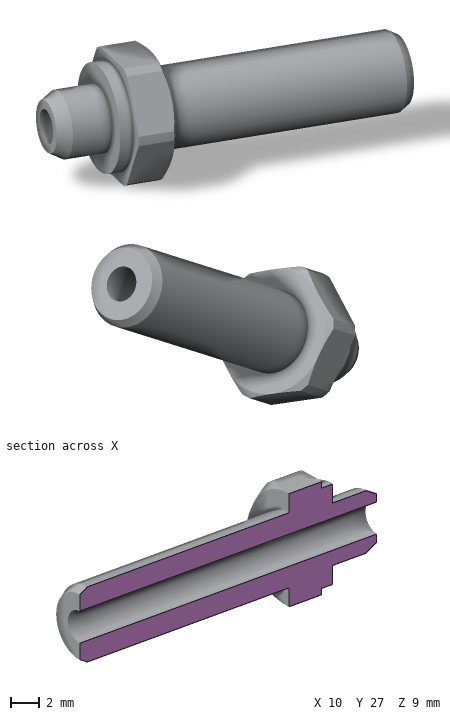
import cadquery as cq
import math

total_length = 27.0
spigot_length = 4.0
collar_length = 1.0
hex_length = 3.0
tip_chamfer_length = 1.0
tail_chamfer_length = 0.7

spigot_diameter = 5.0
collar_diameter = 8.0
across_flats = 9.0
corner_diameter = 10.0
stem_diameter = 6.0
bore_diameter = 2.5

end_cone_angle = math.radians(30)
hex_cone_angle = math.radians(30)

hex_start = spigot_length + collar_length
hex_end = hex_start + hex_length


def revolve_profile(points):
    """Turn a closed (radius, y) outline around the Y axis."""
    return cq.Workplane("XY").polyline(points).close().revolve(360, (0, 0, 0), (0, 1, 0))


def make_turned_body():
    """Spigot, collar and stem, with a cone at each end."""
    spigot_radius = spigot_diameter / 2
    collar_radius = collar_diameter / 2
    stem_radius = stem_diameter / 2
    tip_radius = spigot_radius - tip_chamfer_length * math.tan(end_cone_angle)
    tail_radius = stem_radius - tail_chamfer_length * math.tan(end_cone_angle)
    return revolve_profile([
        (0, 0),
        (tip_radius, 0),
        (spigot_radius, tip_chamfer_length),
        (spigot_radius, spigot_length),
        (collar_radius, spigot_length),
        (collar_radius, hex_start),
        (stem_radius, hex_start),
        (stem_radius, total_length - tail_chamfer_length),
        (tail_radius, total_length),
        (0, total_length),
    ])


def make_hexagon():
    """Hexagon with turned corners and a cone on its stem side."""
    face_radius = across_flats / 2
    corner_radius = corner_diameter / 2
    cone_drop = (corner_radius - face_radius) * math.tan(hex_cone_angle)
    across_corners = across_flats / math.cos(math.radians(30))
    prism = (
        cq.Workplane("XZ", origin=(0, hex_start, 0))
        .polygon(6, across_corners)
        .extrude(-hex_length)
    )
    turned_blank = revolve_profile([
        (0, hex_start),
        (corner_radius, hex_start),
        (corner_radius, hex_end - cone_drop),
        (face_radius, hex_end),
        (0, hex_end),
    ])
    return prism.intersect(turned_blank)


def make_bore():
    """Straight hole through the whole length."""
    return cq.Workplane("XZ").circle(bore_diameter / 2).extrude(-total_length)


result = make_turned_body().union(make_hexagon()).cut(make_bore())